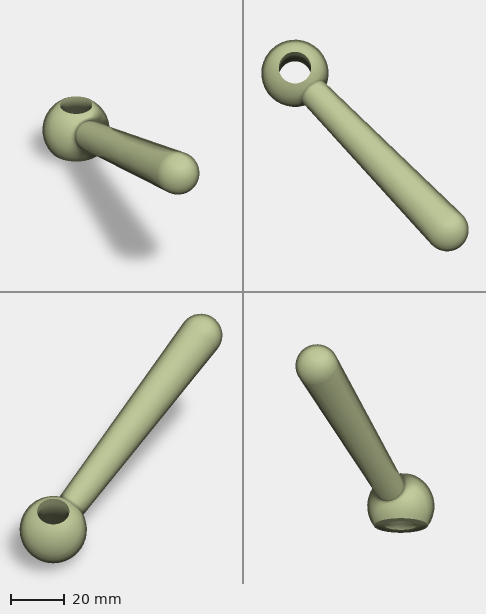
import cadquery as cq
import math

ball_radius = 12.5
bore_radius = 6.0
base_depth = 7.5
arm_tilt = 20
arm_root_radius = 5.6
tip_radius = 8.0
overall_length = 106.9

tip_distance = (overall_length - ball_radius - tip_radius) / math.cos(math.radians(arm_tilt))

root_distance = math.sqrt(ball_radius**2 - arm_root_radius**2)


def make_hub():
    """Ball with a flat base and a vertical through bore."""
    ball = cq.Workplane("XY").sphere(ball_radius)
    size = 2 * ball_radius
    above_base = cq.Workplane("XY").workplane(offset=-base_depth).rect(size, size).extrude(size)
    bore = cq.Workplane("XY").circle(bore_radius).extrude(ball_radius, both=True)
    return ball.intersect(above_base).cut(bore)


def make_arm():
    """Taper meeting a spherical tip tangentially, revolved about X and tilted upward."""
    length = tip_distance - root_distance
    edge_to_tip = math.hypot(length, arm_root_radius)
    taper = math.asin(tip_radius / edge_to_tip) - math.atan2(arm_root_radius, length)

    seam_x = tip_distance - tip_radius * math.sin(taper)
    seam_radius = tip_radius * math.cos(taper)
    middle_angle = (math.pi / 2 + taper) / 2
    arc_middle = (
        tip_distance + tip_radius * math.cos(middle_angle),
        tip_radius * math.sin(middle_angle),
    )
    arm = (
        cq.Workplane("XZ")
        .moveTo(root_distance, 0)
        .lineTo(root_distance, arm_root_radius)
        .lineTo(seam_x, seam_radius)
        .threePointArc(arc_middle, (tip_distance + tip_radius, 0))
        .close()
        .revolve(360, (0, 0, 0), (1, 0, 0))
    )
    return arm.rotate((0, 0, 0), (0, 1, 0), -arm_tilt)


result = make_hub().union(make_arm())